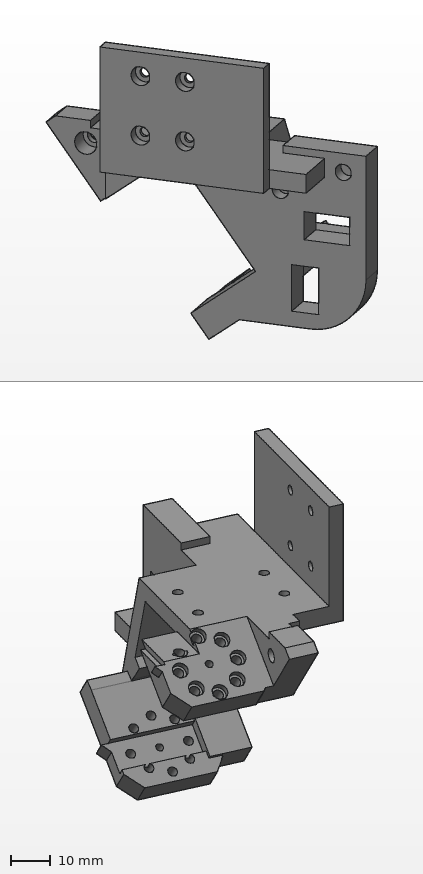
import cadquery as cq
import math

TILT = 37.5
ALONG = (math.cos(math.radians(TILT)), 0, math.sin(math.radians(TILT)))
OUT = (-ALONG[2], 0, ALONG[0])
TILT_SLOPE = math.tan(math.radians(TILT))
CUT_MARGIN = 43.2

PLATE_LEFT = 21.1
PLATE_RIGHT = 65.3
PLATE_TOP = 83.35
PLATE_THICK = 4.0
MOUNT_HOLE_X = (32.05, 44.05)
MOUNT_HOLE_Z = (61.1, 77.0)
MOUNT_HOLE_DIA = 2.5
MOUNT_BORE_DIA = 5.0
MOUNT_BORE_DEPTH = 3.0

TABLE_TOP = 54.9
TABLE_THICK = 5.0
TABLE_BOTTOM = TABLE_TOP - TABLE_THICK
TABLE_RIGHT = 75.2
TABLE_BACK = 40.9
TABLE_HOLE_X = (32.1, 44.1)
TABLE_HOLE_Y = (11.2, 35.2)
TABLE_HOLE_DIA = 2.7
TABLE_HOLE_DEPTH = 6.05

WEB_FRONT = 16.9
WEB_THICK = 8.0
WEB_BACK = WEB_FRONT + WEB_THICK
WEB_RIGHT = 86.4
WEB_TOP = 56.9
WEB_BOTTOM = 8.8
WEB_CORNER_RADIUS = 15.0
WEB_STEP_LEFT = 12.0
WEB_STEP_RIGHT = 64.0
ARM_BACK = 28.7

WING_TIP = (14.8, 35.7)
WING_END_LENGTH = 24.3
WING_HOLE = (10.7, 50.7)
WING_HOLE_DIA = 3.6
WING_BORE_DIA = 6.0
WING_BORE_DEPTH = 6.0
WING_PAD_LEFT = 17.2
WING_PAD_FRONT = 14.0
WING_SEAT_LENGTH = 9.5

ARM_TIP = (44.0, 2.5)
ARM_LENGTH = 22.0
ARM_THICK = 8.0

WINDOWS = ((69.7, 82.0, 32.5, 40.0), (66.3, 73.6, 13.0, 25.4))
BLIND_HOLES = ((63.2, 44.8), (80.25, 51.8))
BLIND_HOLE_DIA = 4.3
BLIND_HOLE_DEPTH = 4.0

TOOL_BACK = 52.1
CHAMFER_ALONG = 4.8
CHAMFER_ACROSS = 4.1
CHAMFER_FRONT_START = 27.8
CHAMFER_SLOPE = 0.77
CIRCLE_Y = 39.3
CIRCLE_RADIUS = 8.0
CIRCLE_COUNT = 8
CENTRE_HOLE_DIA = 2.0

UPPER_OVERHANG = 0.8
UPPER_UNDERSIDE = 1.0
UPPER_THICK = 7.95
UPPER_FACE = UPPER_UNDERSIDE + UPPER_THICK
UPPER_LENGTH = 34.55
UPPER_CIRCLE = 9.6
UPPER_HOLE_DIA = 2.7
UPPER_BORE_DIA = 4.1
UPPER_BORE_DEPTH = 1.7
UPPER_TAB_END = 12.1
UPPER_TAB_BACK = 53.5
UPPER_TAB_THICK = 3.45
UPPER_FLAT_Z = 50.6
UPPER_FLAT_BACK = 50.7
UPPER_LEDGE_Z = 49.0

LOWER_OVERHANG = 4.1
LOWER_THICK = 7.1
LOWER_LENGTH = 27.9
LOWER_BEVEL_START = 25.0
LOWER_BEVEL_DROP = 0.2
LOWER_CIRCLE = 6.65
LOWER_HOLE_DIA = 2.5
GROOVE_START = 2.1
GROOVE_END = 10.7
GROOVE_DEPTH = 2.2
LOWER_TAB_BACK = 54.0

STRUT_LEAN = 17.6
STRUT_THICK = 5.0
STRUT_TOP_RIGHT = 55.1
STRUT_FOOT_TOP = 31.1
STRUT_FOOT_EDGE = (54.85, 29.1)
STRUT_TOE_HEIGHT = 1.0

BLOCK_LEFT = 60.5
BLOCK_RIGHT = 82.0
BLOCK_BACK = 34.9
BLOCK_TOP = 30.7
BLOCK_BOTTOM = WINDOWS[1][3]


def box(x0, x1, y0, y1, z0, z1):
    """Box between two opposite corners."""
    return cq.Workplane("XY").box(x1 - x0, y1 - y0, z1 - z0, centered=False).translate((x0, y0, z0))


def tilted_point(tip, along, out):
    """XZ position of a point given along and out from an arm tip."""
    return (tip[0] + along * ALONG[0] + out * OUT[0], tip[1] + along * ALONG[2] + out * OUT[2])


def prism(outline, y0, y1):
    """Outline of XZ points extruded between two Y positions."""
    return cq.Workplane("XZ", origin=(0, y0, 0)).polyline(outline).close().extrude(y0 - y1)


def tilted_box(tip, along0, along1, out0, out1, y0, y1):
    """Box lying along the lean of an arm."""
    corners = ((along0, out0), (along1, out0), (along1, out1), (along0, out1))
    return prism([tilted_point(tip, a, o) for a, o in corners], y0, y1)


def tilted_plane(tip, out):
    """Workplane parallel to a tool plate: local x is along the lean, local y is Y."""
    x, z = tilted_point(tip, 0, out)
    return cq.Workplane(cq.Plane(origin=(x, 0, z), xDir=ALONG, normal=OUT))


def front_holes(points, diameter, y0, depth):
    """Cylinders running in +Y from y0 at XZ points."""
    return cq.Workplane("XZ", origin=(0, y0, 0)).pushPoints(points).circle(diameter / 2).extrude(-depth)


def mounting_plate():
    plate = box(PLATE_LEFT, PLATE_RIGHT, 0, PLATE_THICK, TABLE_BOTTOM, PLATE_TOP)
    points = [(x, z) for x in MOUNT_HOLE_X for z in MOUNT_HOLE_Z]
    plate = plate.cut(front_holes(points, MOUNT_HOLE_DIA, 0, PLATE_THICK))
    return plate.cut(front_holes(points, MOUNT_BORE_DIA, 0, MOUNT_BORE_DEPTH))


def web():
    """Upright web, drawn clockwise from the wing's lower tip."""
    wing_top = tilted_point(WING_TIP, 0, WING_END_LENGTH)
    chamfer_run = (WEB_TOP - wing_top[1]) / TILT_SLOPE
    wing_root_x = WING_TIP[0] + (TABLE_BOTTOM - WING_TIP[1]) / TILT_SLOPE
    arm_inner = tilted_point(ARM_TIP, ARM_LENGTH, ARM_THICK)
    web_root_x = arm_inner[0] - (TABLE_BOTTOM - arm_inner[1]) * TILT_SLOPE
    arm_root_x = ARM_TIP[0] + (WEB_BOTTOM - ARM_TIP[1]) / TILT_SLOPE
    arc_x = WEB_RIGHT - WEB_CORNER_RADIUS
    arc_z = WEB_BOTTOM + WEB_CORNER_RADIUS
    diagonal = WEB_CORNER_RADIUS * math.sqrt(0.5)
    body = (
        cq.Workplane("XZ", origin=(0, WEB_FRONT, 0))
        .moveTo(*WING_TIP)
        .lineTo(*wing_top)
        .lineTo(wing_top[0] + chamfer_run, WEB_TOP)
        .lineTo(WEB_STEP_LEFT, WEB_TOP)
        .lineTo(WEB_STEP_LEFT, TABLE_TOP)
        .lineTo(WEB_STEP_RIGHT, TABLE_TOP)
        .lineTo(WEB_STEP_RIGHT, WEB_TOP)
        .lineTo(WEB_RIGHT, WEB_TOP)
        .lineTo(WEB_RIGHT, arc_z)
        .threePointArc((arc_x + diagonal, arc_z - diagonal), (arc_x, WEB_BOTTOM))
        .lineTo(arm_root_x, WEB_BOTTOM)
        .lineTo(*ARM_TIP)
        .lineTo(*tilted_point(ARM_TIP, 0, ARM_THICK))
        .lineTo(*arm_inner)
        .lineTo(web_root_x, TABLE_BOTTOM)
        .lineTo(wing_root_x, TABLE_BOTTOM)
        .close()
        .extrude(-WEB_THICK)
    )
    wing_front_pad = prism(
        [
            (WING_PAD_LEFT, TABLE_TOP),
            (WING_PAD_LEFT, WING_TIP[1] + (WING_PAD_LEFT - WING_TIP[0]) * TILT_SLOPE),
            (wing_root_x, TABLE_BOTTOM),
            (wing_root_x, TABLE_TOP),
        ],
        WING_PAD_FRONT,
        WEB_FRONT,
    )
    wing_seat = tilted_box(WING_TIP, 0, WING_SEAT_LENGTH, 0, UPPER_FACE, WEB_BACK, ARM_BACK)
    arm_seat = tilted_box(ARM_TIP, 0, ARM_LENGTH, 0, ARM_THICK, WEB_BACK, ARM_BACK)
    return body.union(wing_front_pad).union(wing_seat).union(arm_seat)


def table():
    front = box(PLATE_LEFT, TABLE_RIGHT, PLATE_THICK, WEB_FRONT, TABLE_BOTTOM, TABLE_TOP)
    plate_top_at_table = tilted_point(WING_TIP, 0, UPPER_FACE)
    rear_left = plate_top_at_table[0] + (TABLE_TOP - plate_top_at_table[1]) / TILT_SLOPE
    rear = box(rear_left, STRUT_TOP_RIGHT, WEB_BACK, TABLE_BACK, TABLE_BOTTOM, TABLE_TOP)
    return front.union(rear)


def strut():
    """Slanted strut whose foot hooks over the end of the lower tool plate."""
    lean = math.tan(math.radians(STRUT_LEAN))
    width = STRUT_THICK / math.cos(math.radians(STRUT_LEAN))
    plate_end = tilted_point(ARM_TIP, LOWER_LENGTH, 0)
    top_left = STRUT_TOP_RIGHT - width
    outline = [
        (STRUT_TOP_RIGHT, TABLE_TOP),
        (top_left, TABLE_TOP),
        (top_left + (TABLE_TOP - STRUT_FOOT_TOP) * lean, STRUT_FOOT_TOP),
        STRUT_FOOT_EDGE,
        tilted_point(ARM_TIP, LOWER_BEVEL_START, LOWER_THICK + STRUT_TOE_HEIGHT),
        tilted_point(ARM_TIP, LOWER_BEVEL_START, LOWER_THICK),
        plate_end,
    ]
    return prism(outline, WEB_BACK, TABLE_BACK)


def tool_outline(tip, start, end, out, thickness):
    """Tool plate blank with both end corners chamfered."""
    front_run = (CHAMFER_FRONT_START - WEB_BACK) / CHAMFER_SLOPE
    points = [
        (start, CHAMFER_FRONT_START),
        (start + front_run, WEB_BACK),
        (end, WEB_BACK),
        (end, TOOL_BACK),
        (start + CHAMFER_ALONG, TOOL_BACK),
        (start, TOOL_BACK - CHAMFER_ACROSS),
    ]
    return tilted_plane(tip, out).polyline(points).close().extrude(thickness)


def tool_tab(tip, end, back, out, thickness):
    """Ramped ear on the back edge of a tool plate."""
    ramp = end - (back - TOOL_BACK) / CHAMFER_SLOPE
    points = [(ramp, TOOL_BACK), (end, TOOL_BACK), (end, back)]
    return tilted_plane(tip, out).polyline(points).close().extrude(thickness)


def circle_holes(tip, centre, out, diameter, depth):
    """Ring of cylinders square to a tool plate, running down from height out."""
    ring = tilted_plane(tip, out).center(centre, CIRCLE_Y)
    return ring.polarArray(CIRCLE_RADIUS, 0, 360, CIRCLE_COUNT).circle(diameter / 2).extrude(-depth)


def centre_hole(tip, centre, out, depth):
    return tilted_plane(tip, out).center(centre, CIRCLE_Y).circle(CENTRE_HOLE_DIA / 2).extrude(-depth)


def upper_tool_plate():
    plate = tool_outline(WING_TIP, -UPPER_OVERHANG, UPPER_LENGTH, UPPER_UNDERSIDE, UPPER_THICK)
    plate = plate.cut(box(0, WEB_RIGHT, 0, TABLE_BACK, TABLE_TOP, PLATE_TOP))
    plate = plate.cut(box(0, WEB_RIGHT, TABLE_BACK, UPPER_FLAT_BACK, UPPER_FLAT_Z, PLATE_TOP))
    above_ledge = box(0, WEB_RIGHT, UPPER_FLAT_BACK, TOOL_BACK, UPPER_LEDGE_Z, PLATE_TOP)
    past_tab = tilted_box(
        WING_TIP, UPPER_TAB_END, CUT_MARGIN, -CUT_MARGIN, CUT_MARGIN, UPPER_FLAT_BACK, TOOL_BACK
    )
    plate = plate.cut(above_ledge.intersect(past_tab))
    return plate.union(
        tool_tab(WING_TIP, UPPER_TAB_END, UPPER_TAB_BACK, UPPER_FACE - UPPER_TAB_THICK, UPPER_TAB_THICK)
    )


def lower_tool_plate():
    plate = tool_outline(ARM_TIP, -LOWER_OVERHANG, LOWER_LENGTH, 0, LOWER_THICK)
    bevel = [
        tilted_point(ARM_TIP, LOWER_BEVEL_START, LOWER_THICK),
        tilted_point(ARM_TIP, LOWER_LENGTH, LOWER_THICK),
        tilted_point(ARM_TIP, LOWER_LENGTH, LOWER_THICK - LOWER_BEVEL_DROP),
    ]
    plate = plate.cut(prism(bevel, WEB_BACK, TOOL_BACK))
    floor = LOWER_THICK - GROOVE_DEPTH
    groove = tilted_box(ARM_TIP, GROOVE_START, GROOVE_END, floor, LOWER_THICK, WEB_BACK, TOOL_BACK)
    plate = plate.cut(groove)
    return plate.union(tool_tab(ARM_TIP, GROOVE_END, LOWER_TAB_BACK, 0, floor))


result = mounting_plate().union(table()).union(web()).union(upper_tool_plate())
result = result.union(lower_tool_plate()).union(strut())
result = result.union(box(BLOCK_LEFT, BLOCK_RIGHT, WEB_BACK, BLOCK_BACK, BLOCK_BOTTOM, BLOCK_TOP))

result = result.cut(circle_holes(WING_TIP, UPPER_CIRCLE, UPPER_FACE, UPPER_HOLE_DIA, UPPER_THICK))
result = result.cut(circle_holes(WING_TIP, UPPER_CIRCLE, UPPER_FACE, UPPER_BORE_DIA, UPPER_BORE_DEPTH))
result = result.cut(centre_hole(WING_TIP, UPPER_CIRCLE, UPPER_FACE, UPPER_THICK))
result = result.cut(circle_holes(ARM_TIP, LOWER_CIRCLE, LOWER_THICK, LOWER_HOLE_DIA, LOWER_THICK))
result = result.cut(centre_hole(ARM_TIP, LOWER_CIRCLE, LOWER_THICK, LOWER_THICK))

table_points = [(x, y) for x in TABLE_HOLE_X for y in TABLE_HOLE_Y]
table_holes = cq.Workplane("XY", origin=(0, 0, TABLE_TOP)).pushPoints(table_points)
result = result.cut(table_holes.circle(TABLE_HOLE_DIA / 2).extrude(-TABLE_HOLE_DEPTH))

result = result.cut(front_holes([WING_HOLE], WING_HOLE_DIA, WEB_FRONT, WEB_THICK))
result = result.cut(front_holes([WING_HOLE], WING_BORE_DIA, WEB_FRONT, WING_BORE_DEPTH))
result = result.cut(front_holes(BLIND_HOLES, BLIND_HOLE_DIA, WEB_FRONT, BLIND_HOLE_DEPTH))
for left, right, bottom, top in WINDOWS:
    result = result.cut(box(left, right, WEB_FRONT, WEB_BACK, bottom, top))